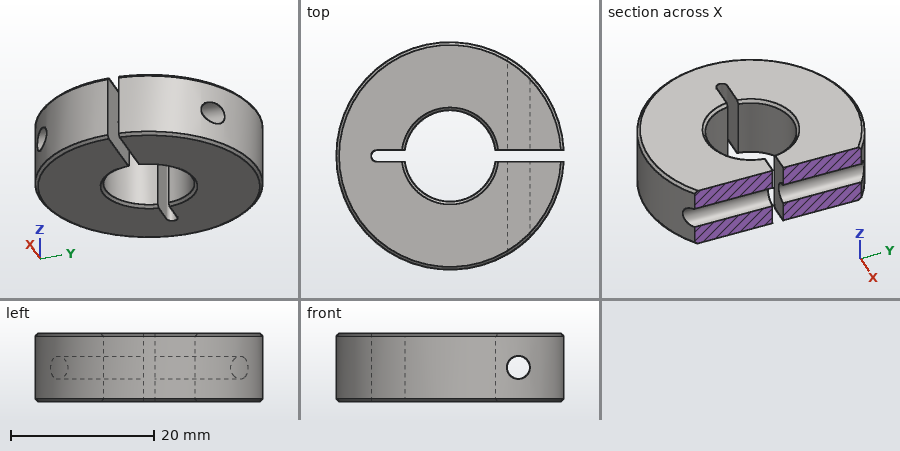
import cadquery as cq

outer_diameter = 31.75
height = 9.52
bore_diameter = 12.7
edge_chamfer = 0.4

slit_width = 1.6
slit_tip_x = -10.98

screw_hole_diameter = 3.17
screw_hole_x = 9.52


def make_collar():
    """Ring centred on the Z axis with every circular edge chamfered."""
    ring = cq.Workplane("XY").circle(outer_diameter / 2).circle(bore_diameter / 2).extrude(height)
    return ring.faces("|Z").edges().chamfer(edge_chamfer)


def make_slit():
    """Full-height cutter along X with a rounded end on -X."""
    tip_center_x = slit_tip_x + slit_width / 2
    straight_length = outer_diameter / 2 - tip_center_x
    straight = (
        cq.Workplane("XY")
        .center(tip_center_x, 0)
        .rect(straight_length, slit_width, centered=(False, True))
        .extrude(height)
    )
    tip = cq.Workplane("XY").center(tip_center_x, 0).circle(slit_width / 2).extrude(height)
    return straight.union(tip)


def make_screw_hole():
    """Cylinder across the whole collar at mid height."""
    return (
        cq.Workplane("XZ")
        .center(screw_hole_x, height / 2)
        .circle(screw_hole_diameter / 2)
        .extrude(outer_diameter / 2, both=True)
    )


result = make_collar().cut(make_slit()).cut(make_screw_hole())